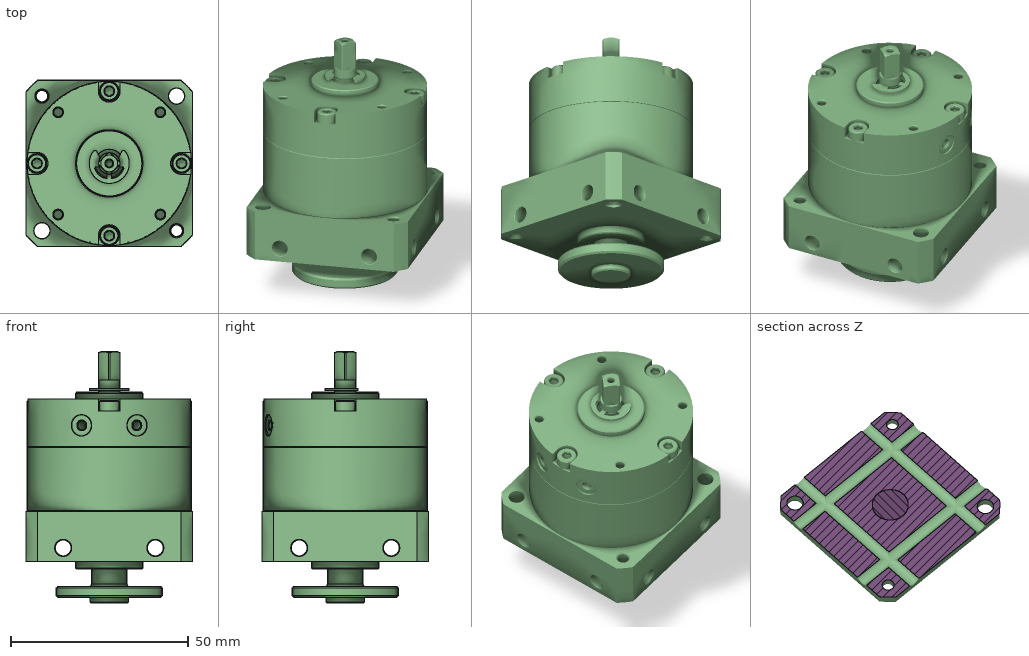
import cadquery as cq
import math

block_width = 47.0
block_height = 14.25
block_corner_dia = 62.0
block_hole_spacing = 38.0
clearance_hole_dia = 4.5
tapped_hole_dia = 3.24
tapped_hole_mouth_dia = 4.0
cross_hole_offset = 13.0
cross_hole_height = 3.9
cross_hole_dia = 4.5
cross_hole_mouth_dia = 4.8

tube_dia = 46.4
tube_top = 32.5
tube_chamfer = 0.2
cap_dia = tube_dia
cap_top = 46.0

collar_dia = 19.0
top_collar_height = 1.85
bottom_collar_height = 2.1
collar_chamfer = 0.3

cap_pitch_dia = 40.8
screw_count = 4
screw_pocket_width = 6.2
screw_pocket_depth = 3.5
screw_head_dia = 5.5
screw_head_height = 3.0
screw_head_chamfer = 0.3
socket_width = 2.5
socket_mouth_dia = 3.0
socket_depth = 1.2
cap_hole_dia = 2.46
cap_hole_mouth_dia = 3.0
cap_hole_depth = 6.0

port_angle = 20.0
port_height = 38.5
port_recess_dia = 6.0
port_floor_radius = 22.7
port_hole_dia = cap_hole_dia
port_mouth_dia = cap_hole_mouth_dia
port_hole_depth = 6.0

journal_dia = 8.0
lower_neck_dia = 10.0
tip_dia = 6.0
groove_dia = 5.0
cone_height = 1.0
shaft_shoulder = block_height / 2
shaft_top = 59.3
square_length = 8.0
square_width = 4.65
square_corner_dia = 6.2
square_end_dia = 4.75
square_end_drop = 0.35
tip_hole_dia = 2.01
tip_hole_mouth_dia = 2.46
tip_hole_depth = 5.0
flange_dia = 30.0
flange_top = -6.95
flange_thickness = 3.1
flange_chamfer = 0.5
flange_root_dia = 10.6
flange_root_height = 0.6
spigot_dia = 11.0
spigot_chamfer = 0.4
shaft_bottom = -11.7

clip_dia = 11.3
clip_thickness = 0.65
clip_bottom = 48.3
clip_prong_end = 3.65
clip_prong_round = 0.4
clip_mouth_y = 2.0
clip_mouth_half_width = 2.8
clip_flare_half_width = 3.7
clip_window_radius = 4.35
clip_window_edge = -1.0
clip_window_round = 0.4
clip_tongue_width = 1.4

drill_tip_angle = 118.0


def disc(diameter, bottom, height):
    """Cylinder on the part's axis."""
    return cq.Workplane("XY").workplane(offset=bottom).circle(diameter / 2).extrude(height)


def blind_hole(diameter, mouth_dia, depth, pointed=False):
    """Cutting tool that points down from the origin, with a 45 degree countersink."""
    radius = diameter / 2
    mouth_radius = mouth_dia / 2
    tip_height = radius / math.tan(math.radians(drill_tip_angle / 2)) if pointed else 0.0
    profile = cq.Workplane("XZ").lineTo(mouth_radius, 0).lineTo(radius, radius - mouth_radius)
    profile = profile.lineTo(radius, -depth).lineTo(0, -depth - tip_height).close()
    return profile.revolve(360, (0, 0), (0, 1))


def through_hole(diameter, mouth_dia, length):
    """Cutting tool along Z, centred on the origin, countersunk at both ends."""
    radius = diameter / 2
    mouth_radius = mouth_dia / 2
    half = length / 2
    sink = half - (mouth_radius - radius)
    profile = cq.Workplane("XZ").moveTo(0, -half).lineTo(mouth_radius, -half).lineTo(radius, -sink)
    profile = profile.lineTo(radius, sink).lineTo(mouth_radius, half).lineTo(0, half).close()
    return profile.revolve(360, (0, 0), (0, 1))


def mounting_block():
    block = cq.Workplane("XY").rect(block_width, block_width).extrude(block_height)
    block = block.intersect(disc(block_corner_dia, 0, block_height))
    half = block_hole_spacing / 2
    clearance = [(half, half), (-half, -half)]
    block = block.cut(
        cq.Workplane("XY").pushPoints(clearance).circle(clearance_hole_dia / 2).extrude(block_height)
    )
    tapped = through_hole(tapped_hole_dia, tapped_hole_mouth_dia, block_height)
    for side in (-1, 1):
        block = block.cut(tapped.translate((side * half, -side * half, block_height / 2)))
    return block.cut(cross_holes())


def cross_holes():
    along_z = through_hole(cross_hole_dia, cross_hole_mouth_dia, block_width)
    along_x = along_z.rotate((0, 0, 0), (0, 1, 0), 90)
    along_y = along_z.rotate((0, 0, 0), (1, 0, 0), 90)
    tools = cq.Workplane("XY")
    for offset in (-cross_hole_offset, cross_hole_offset):
        tools = tools.union(along_x.translate((0, offset, cross_hole_height)))
        tools = tools.union(along_y.translate((offset, 0, cross_hole_height)))
    return tools


def screw_pocket():
    """Open-sided pocket on +X, cut down from the cap's top."""
    pitch_radius = cap_pitch_dia / 2
    floor = cq.Workplane("XY").workplane(offset=cap_top - screw_pocket_depth)
    round_end = floor.center(pitch_radius, 0).circle(screw_pocket_width / 2).extrude(screw_pocket_depth)
    channel_length = cap_dia / 2
    channel = floor.center(pitch_radius + channel_length / 2, 0)
    channel = channel.rect(channel_length, screw_pocket_width).extrude(screw_pocket_depth)
    return round_end.union(channel)


def screw_socket():
    """Hexagonal cutting tool below the origin: corners along Y, countersunk mouth, conical floor."""
    corner_radius = socket_width / math.sqrt(3)
    mouth_radius = socket_mouth_dia / 2
    mouth_drop = mouth_radius - socket_width / 2
    cone_drop = corner_radius / math.tan(math.radians(drill_tip_angle / 2))
    cavity = cq.Workplane("XZ").lineTo(corner_radius, 0).lineTo(corner_radius, -socket_depth)
    cavity = cavity.lineTo(0, -socket_depth - cone_drop).close().revolve(360, (0, 0), (0, 1))
    hexagon = cq.Workplane("XY").polygon(6, 2 * corner_radius).extrude(-screw_head_height)
    hexagon = hexagon.rotate((0, 0, 0), (0, 0, 1), 90)
    mouth = cq.Workplane("XZ").lineTo(mouth_radius, 0).lineTo(socket_width / 2, -mouth_drop)
    mouth = mouth.lineTo(0, -mouth_drop).close().revolve(360, (0, 0), (0, 1))
    return hexagon.intersect(cavity).union(mouth)


def screw_head(angle):
    """Cap-screw head in the pocket at the given angle from +X."""
    floor_height = cap_top - screw_pocket_depth
    head = disc(screw_head_dia, floor_height, screw_head_height).faces(">Z").chamfer(screw_head_chamfer)
    head = head.cut(screw_socket().translate((0, 0, floor_height + screw_head_height)))
    pitch_radius = cap_pitch_dia / 2
    direction = math.radians(angle)
    return head.translate((pitch_radius * math.cos(direction), pitch_radius * math.sin(direction), 0))


def side_port():
    """Recess and hole on the -Y side."""
    recess = cq.Workplane("XZ").workplane(offset=port_floor_radius)
    recess = recess.circle(port_recess_dia / 2).extrude(cap_dia / 2)
    hole = blind_hole(port_hole_dia, port_mouth_dia, port_hole_depth).rotate((0, 0, 0), (1, 0, 0), 90)
    return recess.union(hole.translate((0, -port_floor_radius, 0))).translate((0, 0, port_height))


def cap():
    body = disc(cap_dia, tube_top, cap_top - tube_top)
    step = 360 / screw_count
    hole = blind_hole(cap_hole_dia, cap_hole_mouth_dia, cap_hole_depth)
    hole = hole.translate((cap_pitch_dia / 2, 0, cap_top))
    for i in range(screw_count):
        body = body.cut(screw_pocket().rotate((0, 0, 0), (0, 0, 1), i * step))
        body = body.cut(hole.rotate((0, 0, 0), (0, 0, 1), (i + 0.5) * step))
        body = body.union(screw_head(i * step))
    for side in (-1, 1):
        body = body.cut(side_port().rotate((0, 0, 0), (0, 0, 1), side * port_angle))
    return body


def make_housing():
    tube = disc(tube_dia, block_height, tube_top - block_height).edges().chamfer(tube_chamfer)
    top_collar = disc(collar_dia, cap_top, top_collar_height).faces(">Z").chamfer(collar_chamfer)
    bottom_collar = disc(collar_dia, -bottom_collar_height, bottom_collar_height)
    bottom_collar = bottom_collar.faces("<Z").chamfer(collar_chamfer)
    body = mounting_block().union(tube).union(cap()).union(top_collar).union(bottom_collar)
    lower_bore = disc(lower_neck_dia, -bottom_collar_height, shaft_shoulder + bottom_collar_height)
    upper_bore = disc(journal_dia, shaft_shoulder, cap_top + top_collar_height - shaft_shoulder)
    return body.cut(lower_bore).cut(upper_bore)


def shaft_core():
    """Turned part of the shaft, from the spigot up to the foot of the square."""
    flange_bottom = flange_top - flange_thickness
    flange_radius = flange_dia / 2
    flange_rim = flange_radius - flange_chamfer
    spigot_radius = spigot_dia / 2
    cone_top = cap_top + top_collar_height
    clip_top = clip_bottom + clip_thickness
    square_foot = shaft_top - square_length
    outline = [
        (0, shaft_bottom),
        (spigot_radius - spigot_chamfer, shaft_bottom),
        (spigot_radius, shaft_bottom + spigot_chamfer),
        (spigot_radius, flange_bottom),
        (flange_rim, flange_bottom),
        (flange_radius, flange_bottom + flange_chamfer),
        (flange_radius, flange_top - flange_chamfer),
        (flange_rim, flange_top),
        (flange_root_dia / 2, flange_top),
        (lower_neck_dia / 2, flange_top + flange_root_height),
        (lower_neck_dia / 2, shaft_shoulder),
        (journal_dia / 2, shaft_shoulder),
        (journal_dia / 2, cone_top - cone_height),
        (tip_dia / 2, cone_top),
        (tip_dia / 2, clip_bottom),
        (groove_dia / 2, clip_bottom),
        (groove_dia / 2, clip_top),
        (tip_dia / 2, clip_top),
        (tip_dia / 2, square_foot),
        (0, square_foot),
    ]
    return cq.Workplane("XZ").polyline(outline).close().revolve(360, (0, 0), (0, 1))


def square_end():
    """Square drive with rounded corners that point along X and Y."""
    foot = shaft_top - square_length
    square = cq.Workplane("XY").workplane(offset=foot).rect(square_width, square_width)
    square = square.extrude(square_length).rotate((0, 0, 0), (0, 0, 1), 45)
    outline = [
        (0, foot),
        (square_corner_dia / 2, foot),
        (square_corner_dia / 2, shaft_top - square_end_drop),
        (square_end_dia / 2, shaft_top),
        (0, shaft_top),
    ]
    return square.intersect(cq.Workplane("XZ").polyline(outline).close().revolve(360, (0, 0), (0, 1)))


def retaining_clip():
    """E-shaped clip, open toward +Y."""
    mouth = [
        (-clip_mouth_half_width, 0),
        (-clip_mouth_half_width, clip_mouth_y),
        (-clip_flare_half_width, clip_prong_end),
        (-clip_dia, clip_prong_end),
        (-clip_dia, clip_dia),
        (clip_dia, clip_dia),
        (clip_dia, clip_prong_end),
        (clip_flare_half_width, clip_prong_end),
        (clip_mouth_half_width, clip_mouth_y),
        (clip_mouth_half_width, 0),
    ]
    base = cq.Workplane("XY").workplane(offset=clip_bottom)
    clip = disc(clip_dia, clip_bottom, clip_thickness).cut(disc(groove_dia, clip_bottom, clip_thickness))
    clip = clip.cut(base.polyline(mouth).close().extrude(clip_thickness))
    tips = cq.selectors.BoxSelector(
        (-clip_dia, clip_prong_end - clip_prong_round, 0), (clip_dia, clip_dia, shaft_top)
    )
    clip = clip.edges("|Z").edges(tips).fillet(clip_prong_round)
    for side in (-1, 1):
        window = base.center(side * (clip_tongue_width / 2 + clip_dia / 2), clip_window_edge - clip_dia / 2)
        window = window.rect(clip_dia, clip_dia).extrude(clip_thickness)
        window = window.intersect(disc(2 * clip_window_radius, clip_bottom, clip_thickness))
        outer_corner = "<X" if side < 0 else ">X"
        clip = clip.cut(window.edges("|Z").edges(outer_corner).fillet(clip_window_round))
    return clip


def make_shaft():
    tip_hole = blind_hole(tip_hole_dia, tip_hole_mouth_dia, tip_hole_depth, pointed=True)
    body = shaft_core().union(square_end()).union(retaining_clip())
    return body.cut(tip_hole.translate((0, 0, shaft_top)))


housing = make_housing()
shaft = make_shaft()
result = cq.Compound.makeCompound([housing.solids().val(), shaft.solids().val()])